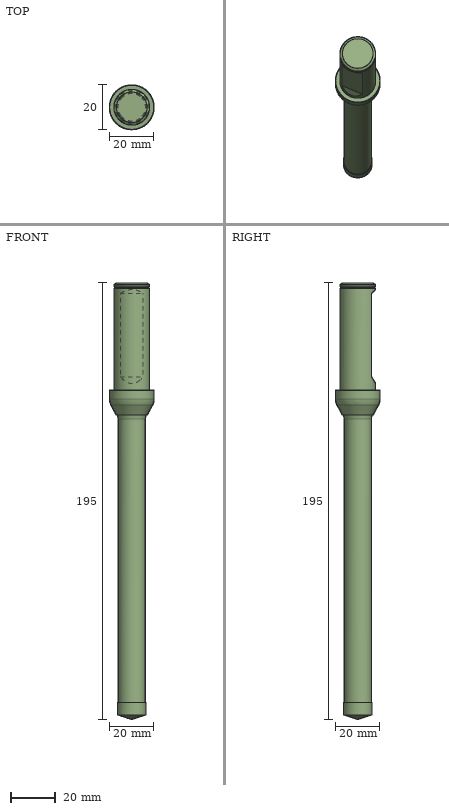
import cadquery as cq
import math

total_height = 195.0
point_height = 2.1
tip_top = 7.6
neck_bottom = 134.4
collar_bottom = 136.1
collar_rim_bottom = 143.1
collar_top = 147.2

tip_diameter = 12.9
rod_diameter = 12.3
neck_diameter = 12.9
collar_base_diameter = 14.0
collar_diameter = 20.0
shank_diameter = 16.0

cone_angle = math.radians(28)

collar_chamfer = 0.2

top_chamfer_width = 1.2
top_chamfer_height = 0.8
groove_top = 193.6
groove_height = 1.2
groove_depth = 0.4

flat_offset = 6.2
flat_bottom = 153.0
flat_top = 190.3
flat_bottom_run = 3.0
flat_top_run = 1.8


def make_tip():
    """Solid cylindrical tip with a shallow conical point."""
    radius = tip_diameter / 2
    return (
        cq.Workplane("XZ")
        .moveTo(0, 0)
        .lineTo(radius, point_height)
        .lineTo(radius, tip_top)
        .lineTo(0, tip_top)
        .close()
        .revolve(360, (0, 0, 0), (0, 1, 0))
    )


def make_turned_shaft():
    """Rod, collar and shank turned as one piece."""
    rod_radius = rod_diameter / 2
    collar_radius = collar_diameter / 2
    shank_radius = shank_diameter / 2

    base_radius = collar_base_diameter / 2
    drop = collar_rim_bottom - collar_bottom
    inset = collar_radius - base_radius
    arc_radius = (drop * math.sin(cone_angle) - inset * math.cos(cone_angle)) / (1 - math.cos(cone_angle))

    def underside_point(angle):
        return (
            collar_radius - arc_radius * (1 - math.cos(angle)),
            collar_rim_bottom - arc_radius * math.sin(angle),
        )

    return (
        cq.Workplane("XZ")
        .moveTo(0, tip_top)
        .lineTo(rod_radius, tip_top)
        .lineTo(rod_radius, neck_bottom)
        .lineTo(neck_diameter / 2, collar_bottom)
        .lineTo(base_radius, collar_bottom)
        .lineTo(*underside_point(cone_angle))
        .threePointArc(underside_point(cone_angle / 2), (collar_radius, collar_rim_bottom))
        .lineTo(collar_radius, collar_top - collar_chamfer)
        .lineTo(collar_radius - collar_chamfer, collar_top)
        .lineTo(shank_radius, collar_top)
        .lineTo(shank_radius, total_height - top_chamfer_height)
        .lineTo(shank_radius - top_chamfer_width, total_height)
        .lineTo(0, total_height)
        .close()
        .revolve(360, (0, 0, 0), (0, 1, 0))
    )


def make_groove_cutter():
    """Ring that cuts the fine V groove below the top chamfer."""
    shank_radius = shank_diameter / 2
    return (
        cq.Workplane("XZ")
        .moveTo(shank_radius, groove_top)
        .lineTo(shank_radius - groove_depth, groove_top - groove_height / 2)
        .lineTo(shank_radius, groove_top - groove_height)
        .lineTo(collar_diameter / 2, groove_top - groove_height)
        .lineTo(collar_diameter / 2, groove_top)
        .close()
        .revolve(360, (0, 0, 0), (0, 1, 0))
    )


def make_flat_cutter():
    """Block that cuts the flat, widening outward at both ends."""
    shank_radius = shank_diameter / 2
    return (
        cq.Workplane("YZ")
        .moveTo(flat_offset, flat_bottom)
        .lineTo(shank_radius, flat_bottom - flat_bottom_run)
        .lineTo(shank_radius, flat_top + flat_top_run)
        .lineTo(flat_offset, flat_top)
        .close()
        .extrude(shank_radius, both=True)
    )


tip = make_tip()
shaft = make_turned_shaft().cut(make_groove_cutter()).cut(make_flat_cutter())

result = cq.Compound.makeCompound([tip.val(), shaft.val()])